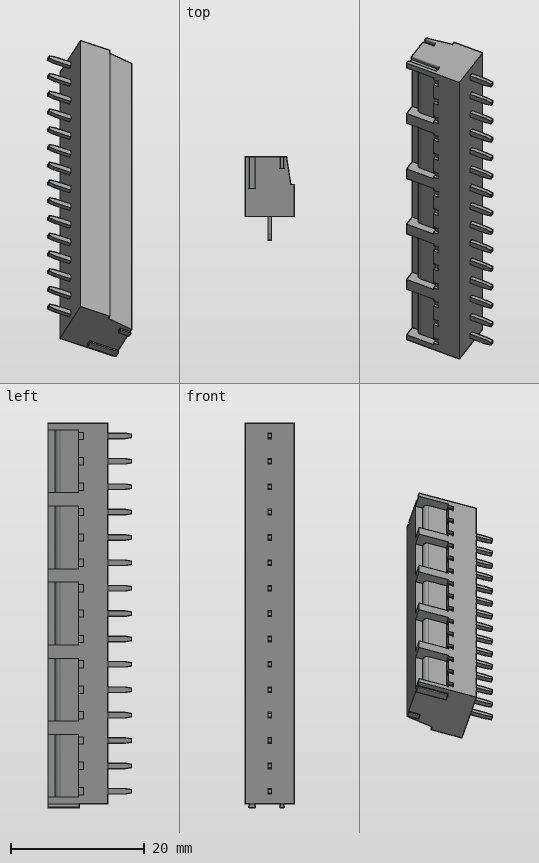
import cadquery as cq

pin_count = 15
pitch = 3.8
pins_per_pocket = 3

housing_width = 7.4
housing_depth = 9.0
housing_height = pin_count * pitch
step_y = 4.85
slope_bottom_x = 6.85
slope_top_x = 6.25

pin_width = 0.6
pin_height = 0.85
pin_length = 3.6
pin_tip_length = 1.0
pin_tip_height = 0.5
pin_embed = 0.6

pocket_pitch = pins_per_pocket * pitch
pocket_height = 9.4
pocket_length = 4.6
pocket_depth = 1.1
round_radius = 0.7
deep_length = 1.1

notch_length = 0.75
notch_height = 1.1
notch_depth = 0.45

key_height = 0.6
key_flare = 0.1
key_round = 0.145
groove_mouth_round = 0.1
groove_end_clearance = 0.05
key_sizes = [(0.5, 1.55, 4.75), (5.2, 5.9, 1.75)]


def make_housing():
    """Long block with a stepped and sloped back."""
    outline = [
        (0, 0),
        (housing_width, 0),
        (housing_width, step_y),
        (slope_bottom_x, step_y),
        (slope_top_x, housing_depth),
        (0, housing_depth),
    ]
    return cq.Workplane("XY").polyline(outline).close().extrude(housing_height)


def make_pin(center_z):
    """Flat pin whose tip narrows in Z."""
    half = pin_height / 2
    tip_half = pin_tip_height / 2
    taper_y = pin_tip_length - pin_length
    outline = [
        (pin_embed, center_z - half),
        (taper_y, center_z - half),
        (-pin_length, center_z - tip_half),
        (-pin_length, center_z + tip_half),
        (taper_y, center_z + half),
        (pin_embed, center_z + half),
    ]
    pin = cq.Workplane("YZ").polyline(outline).close().extrude(pin_width)
    return pin.translate(((housing_width - pin_width) / 2, 0, 0))


def make_pocket(bottom_z):
    """Side pocket whose floor rounds down to a deeper strip at its open end."""
    round_end_y = housing_depth - deep_length
    deepest = pocket_depth + round_radius
    return (
        cq.Workplane("XY", origin=(0, 0, bottom_z))
        .moveTo(0, housing_depth)
        .lineTo(deepest, housing_depth)
        .lineTo(deepest, round_end_y)
        .radiusArc((pocket_depth, round_end_y - round_radius), -round_radius)
        .lineTo(pocket_depth, housing_depth - pocket_length)
        .lineTo(0, housing_depth - pocket_length)
        .close()
        .extrude(pocket_height)
    )


def make_notch(center_z):
    """Shallow recess beside the inner end of a pocket."""
    notch_y = housing_depth - pocket_length - notch_length
    notch = cq.Workplane("XY").box(notch_depth, notch_length, notch_height, centered=(False, False, True))
    return notch.translate((0, notch_y, center_z))


def make_key(left, right, length):
    """Dovetail bar hanging below Z = 0, narrowest at its root and rounded along the bottom."""
    shoulder_z = key_round - key_height
    return (
        cq.Workplane("XZ", origin=(0, housing_depth, 0))
        .moveTo(left + key_flare, 0)
        .lineTo(left, shoulder_z)
        .radiusArc((left + key_round, -key_height), -key_round)
        .lineTo(right - key_round, -key_height)
        .radiusArc((right, shoulder_z), -key_round)
        .lineTo(right - key_flare, 0)
        .close()
        .extrude(length)
    )


def make_groove(left, right, length):
    """Dovetail groove in the top end with a rounded mouth as wide as its floor."""
    neck_left = left + groove_mouth_round
    neck_right = right - groove_mouth_round
    return (
        cq.Workplane("XZ", origin=(0, housing_depth, housing_height))
        .moveTo(left, 0)
        .radiusArc((neck_left, -groove_mouth_round), groove_mouth_round)
        .lineTo(left, -key_height)
        .lineTo(right, -key_height)
        .lineTo(neck_right, -groove_mouth_round)
        .radiusArc((right, 0), groove_mouth_round)
        .close()
        .extrude(length)
    )


result = make_housing()

pin_heights = [(i + 0.5) * pitch for i in range(pin_count)]
for z in pin_heights:
    result = result.union(make_pin(z)).cut(make_notch(z))

first_pocket_z = (pocket_pitch - pocket_height) / 2
for i in range(pin_count // pins_per_pocket):
    result = result.cut(make_pocket(first_pocket_z + i * pocket_pitch))

for left, right, length in key_sizes:
    result = result.union(make_key(left, right, length))
    result = result.cut(make_groove(left, right, length + groove_end_clearance))